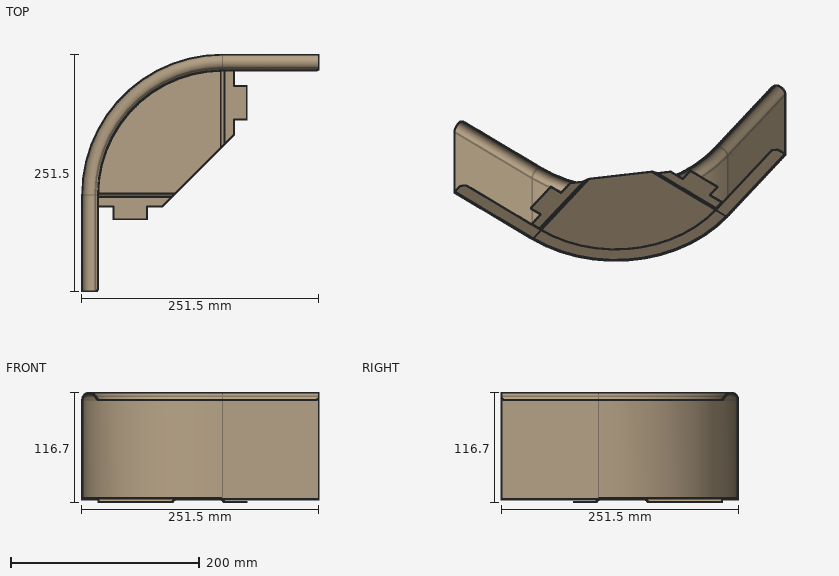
import cadquery as cq
import math

side = 251.5
height = 116.7
sheet = 1.0
bend_radius = 149.0

flange_bottom = 2.8
flange_width = 15.0
flange_chamfer = 4.5
rim_radius = 7.8
rim_reach = 17.4
lip_start = 14.0
lip_chamfer = 2.5

floor_bottom = flange_bottom + sheet
joggle_start = 147.1
joggle_length = floor_bottom
tongue_end = 161.5
tongue_side = rim_reach
diagonal_corner = 85.3
tab_end = 175.0
tab_near = 33.2
tab_far = 69.2

arm_length = side - bend_radius

lip_angle = math.asin((lip_start - rim_radius) / rim_radius)
lip_length = (rim_reach - lip_start) / math.cos(lip_angle)
rim_centre_z = height - rim_radius


def rim_point(radius, angle):
    """Point of the rolled rim; the angle is measured from the crest toward the lip."""
    return rim_radius + radius * math.sin(angle), rim_centre_z + radius * math.cos(angle)


def lip_point(radius):
    """End of the straight lip that leaves the rim arc of the given radius."""
    x, z = rim_point(radius, lip_angle)
    return x + lip_length * math.cos(lip_angle), z - lip_length * math.sin(lip_angle)


def wall_section(y):
    """Section of the wall, flange and rolled rim, on the plane at the given y."""
    inner_radius = rim_radius - sheet
    return (
        cq.Workplane("XZ", origin=(0, y, 0))
        .moveTo(0, flange_bottom)
        .lineTo(0, rim_centre_z)
        .threePointArc(rim_point(rim_radius, 0), rim_point(rim_radius, lip_angle))
        .lineTo(*lip_point(rim_radius))
        .lineTo(*lip_point(inner_radius))
        .lineTo(*rim_point(inner_radius, lip_angle))
        .threePointArc(rim_point(inner_radius, 0), (sheet, rim_centre_z))
        .lineTo(sheet, floor_bottom)
        .lineTo(flange_width, floor_bottom)
        .lineTo(flange_width, flange_bottom)
        .close()
    )


def mirror_across_corner(body):
    """Mirror in the vertical plane x = -y, which swaps the two arms."""
    return body.mirror(cq.Vector(1, 1, 0), cq.Vector(0, 0, 0))


def flange_corner_cut():
    """Triangular prism that chamfers the free corner of the flange."""
    return (
        cq.Workplane("XY", origin=(0, 0, flange_bottom))
        .moveTo(flange_width, -side)
        .lineTo(flange_width - flange_chamfer, -side)
        .lineTo(flange_width, -side + flange_chamfer)
        .close()
        .extrude(sheet)
    )


def lip_corner_cut():
    """Prism square to the lip that chamfers its free corner."""
    tip_x, tip_z = lip_point(rim_radius)
    lip_plane = cq.Plane(
        origin=(tip_x, -side, tip_z),
        xDir=(math.cos(lip_angle), 0, -math.sin(lip_angle)),
        normal=(math.sin(lip_angle), 0, math.cos(lip_angle)),
    )
    return (
        cq.Workplane(lip_plane)
        .polyline([(0, 0), (-lip_chamfer, 0), (0, lip_chamfer)])
        .close()
        .extrude(sheet, both=True)
    )


def make_side_wall():
    arm = wall_section(-bend_radius).extrude(arm_length)
    arm = arm.cut(flange_corner_cut()).cut(lip_corner_cut())
    other_arm = mirror_across_corner(arm.val())
    curve = wall_section(-bend_radius).revolve(90, (bend_radius, 0, 0), (bend_radius, -1, 0))
    return curve.union(arm).union(cq.Workplane(other_arm))


def make_floor_centre():
    """Raised part of the floor, reaching the inside of the curved wall."""
    arc_radius = bend_radius - sheet
    end_offset = bend_radius - joggle_start
    wall_gap = bend_radius - math.sqrt(arc_radius**2 - end_offset**2)
    arc_middle = bend_radius - arc_radius * math.sqrt(0.5)
    diagonal_end = tongue_end + diagonal_corner - joggle_start
    return (
        cq.Workplane("XY", origin=(0, 0, floor_bottom))
        .moveTo(wall_gap, -joggle_start)
        .threePointArc((arc_middle, -arc_middle), (joggle_start, -wall_gap))
        .lineTo(joggle_start, -diagonal_end)
        .lineTo(diagonal_end, -joggle_start)
        .close()
        .extrude(sheet)
    )


def make_floor_tongue():
    """Joggled tongue with its tab, on the +X edge of the floor."""
    joggle_end = joggle_start + joggle_length
    bend_shift = sheet * math.tan(math.radians(45 / 2))
    diagonal_end = tongue_end + diagonal_corner - joggle_start
    stepped_sheet = (
        cq.Workplane("XZ")
        .moveTo(joggle_start, floor_bottom)
        .lineTo(joggle_end, 0)
        .lineTo(tab_end, 0)
        .lineTo(tab_end, sheet)
        .lineTo(joggle_end + bend_shift, sheet)
        .lineTo(joggle_start + bend_shift, floor_bottom + sheet)
        .lineTo(joggle_start, floor_bottom + sheet)
        .close()
        .extrude(side)
    )
    outline = (
        cq.Workplane("XY")
        .moveTo(joggle_start, -tongue_side)
        .lineTo(tongue_end, -tongue_side)
        .lineTo(tongue_end, -tab_near)
        .lineTo(tab_end, -tab_near)
        .lineTo(tab_end, -tab_far)
        .lineTo(tongue_end, -tab_far)
        .lineTo(tongue_end, -diagonal_corner)
        .lineTo(joggle_start, -diagonal_end)
        .close()
        .extrude(height)
    )
    return stepped_sheet.intersect(outline)


def make_floor():
    tongue = make_floor_tongue()
    other_tongue = mirror_across_corner(tongue.val())
    return make_floor_centre().union(tongue).union(cq.Workplane(other_tongue))


side_wall = make_side_wall()
floor_plate = make_floor()

result = cq.Compound.makeCompound([
    *side_wall.solids().vals(),
    *floor_plate.solids().vals(),
])